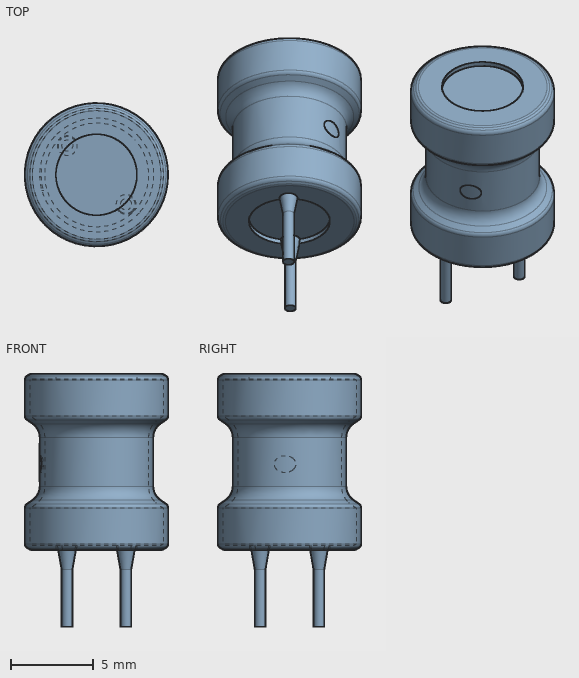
import cadquery as cq
import math


TOTAL_HEIGHT = 15.35

SLEEVE_DIAMETER = 8.7
SLEEVE_RADIUS = SLEEVE_DIAMETER / 2
SLEEVE_HEIGHT = 10.7
WALL = 0.3
OPENING_RADIUS = 2.45
NECK_RADIUS = 3.45
NECK_HALF_HEIGHT = 1.49
COVE_RADIUS = 1.0

CORE_RADIUS = SLEEVE_RADIUS - WALL
CORE_HALF_HEIGHT = SLEEVE_HEIGHT / 2 - WALL
CORE_END_RADIUS = 3.9
CORE_NECK_RADIUS = NECK_RADIUS - WALL
CORE_COVE_RADIUS = COVE_RADIUS + WALL
END_BEVEL_SLOPE = 30.0
INNER_BEVEL_SLOPE = 35.0
END_BEVEL_NORMAL = 90.0 - END_BEVEL_SLOPE
INNER_BEVEL_NORMAL = INNER_BEVEL_SLOPE - 90.0

LEAD_RADIUS = 0.34
LEAD_OFFSET = 1.78
LEAD_ROOT_RADIUS = 0.6
LEAD_TAPER_HEIGHT = 1.46

DOT_HALF_WIDTH = 0.66
DOT_HALF_HEIGHT = 0.5
DOT_DEPTH = 0.09
DOT_DROP = 0.12
DOT_AZIMUTH = 184.9

MID_HEIGHT = TOTAL_HEIGHT - SLEEVE_HEIGHT / 2
CORE_BOTTOM = MID_HEIGHT - CORE_HALF_HEIGHT


def polar(center, radius, angle):
    """Point at a distance and an angle in degrees from a center in the (radius, height) plane."""
    turn = math.radians(angle)
    return (center[0] + radius * math.cos(turn), center[1] + radius * math.sin(turn))


END_BEVEL_RISE = math.tan(math.radians(END_BEVEL_SLOPE))
INNER_BEVEL_RISE = math.tan(math.radians(INNER_BEVEL_SLOPE))
COVE_CENTER = (NECK_RADIUS + COVE_RADIUS, NECK_HALF_HEIGHT)
COVE_END_ANGLE = 180.0 + INNER_BEVEL_NORMAL
CORE_COVE_END = polar(COVE_CENTER, CORE_COVE_RADIUS, COVE_END_ANGLE)
INNER_CORNER = (CORE_RADIUS, CORE_COVE_END[1] + (CORE_RADIUS - CORE_COVE_END[0]) * INNER_BEVEL_RISE)
END_CORNER = (CORE_END_RADIUS, CORE_HALF_HEIGHT)
OUTER_CORNER = (CORE_RADIUS, CORE_HALF_HEIGHT - (CORE_RADIUS - CORE_END_RADIUS) * END_BEVEL_RISE)


def start_flange(neck_radius):
    """Begin the upper flange profile at the axis and lead it out to the top of the neck."""
    return cq.Workplane("XZ").moveTo(0, NECK_HALF_HEIGHT).lineTo(neck_radius, NECK_HALF_HEIGHT)


def make_drum(flange_profile, neck_radius):
    """Revolve the upper flange, mirror it below, join both by the neck and set the drum at its height."""
    flange = flange_profile.close().revolve(360, (0, 0, 0), (0, 1, 0))
    neck = cq.Workplane("XY").circle(neck_radius).extrude(NECK_HALF_HEIGHT, both=True)
    return neck.union(flange).union(flange.mirror("XY")).translate((0, 0, MID_HEIGHT))


def cove(profile, radius):
    """Draw the hollow from the neck out to the flange bevel."""
    return profile.threePointArc(
        polar(COVE_CENTER, radius, (180.0 + COVE_END_ANGLE) / 2),
        polar(COVE_CENTER, radius, COVE_END_ANGLE),
    )


def round_corner(profile, corner, start_angle, end_angle):
    """Draw the sleeve around one sharp corner of the core."""
    return profile.lineTo(*polar(corner, WALL, start_angle)).threePointArc(
        polar(corner, WALL, (start_angle + end_angle) / 2),
        polar(corner, WALL, end_angle),
    )


def make_core():
    """Solid core with a waist between two bevelled flanges."""
    profile = cove(start_flange(CORE_NECK_RADIUS), CORE_COVE_RADIUS)
    for corner in (INNER_CORNER, OUTER_CORNER, END_CORNER):
        profile = profile.lineTo(*corner)
    return make_drum(profile.lineTo(0, CORE_HALF_HEIGHT), CORE_NECK_RADIUS)


def make_lead(x, y):
    """Straight lead with a tapered root that reaches through the sleeve to the core."""
    taper_bottom = CORE_BOTTOM - LEAD_TAPER_HEIGHT
    return (
        cq.Workplane("XZ")
        .lineTo(LEAD_RADIUS, 0)
        .lineTo(LEAD_RADIUS, taper_bottom)
        .lineTo(LEAD_ROOT_RADIUS, CORE_BOTTOM)
        .lineTo(0, CORE_BOTTOM)
        .close()
        .revolve(360, (0, 0, 0), (0, 1, 0))
        .translate((x, y, 0))
    )


def make_dot():
    """Elliptical inlay whose outer face is flush with the neck."""
    plate = (
        cq.Workplane("YZ")
        .center(0, MID_HEIGHT - DOT_DROP)
        .ellipse(DOT_HALF_WIDTH, DOT_HALF_HEIGHT)
        .extrude(SLEEVE_RADIUS)
        .rotate((0, 0, 0), (0, 0, 1), DOT_AZIMUTH)
    )
    skin = (
        cq.Workplane("XY", origin=(0, 0, MID_HEIGHT - NECK_HALF_HEIGHT))
        .circle(NECK_RADIUS)
        .circle(NECK_RADIUS - DOT_DEPTH)
        .extrude(2 * NECK_HALF_HEIGHT)
    )
    return plate.intersect(skin)


def make_sleeve(core, leads, dot):
    """Sleeve open at both ends, fitted around the core, the lead roots and the dot."""
    profile = cove(start_flange(NECK_RADIUS), COVE_RADIUS)
    profile = round_corner(profile, INNER_CORNER, INNER_BEVEL_NORMAL, 0)
    profile = round_corner(profile, OUTER_CORNER, 0, END_BEVEL_NORMAL)
    profile = round_corner(profile, END_CORNER, END_BEVEL_NORMAL, 90)
    sleeve = make_drum(profile.lineTo(0, SLEEVE_HEIGHT / 2), NECK_RADIUS)
    openings = cq.Workplane("XY").circle(OPENING_RADIUS).extrude(TOTAL_HEIGHT)
    sleeve = sleeve.cut(openings).cut(core).cut(dot)
    for lead in leads:
        sleeve = sleeve.cut(lead)
    return sleeve


core = make_core()
leads = [make_lead(side * LEAD_OFFSET, -side * LEAD_OFFSET) for side in (-1, 1)]
dot = make_dot()
sleeve = make_sleeve(core, leads, dot)

result = cq.Compound.makeCompound(
    [*core.vals(), *sleeve.vals(), *dot.vals(), *[lead.val() for lead in leads]]
)